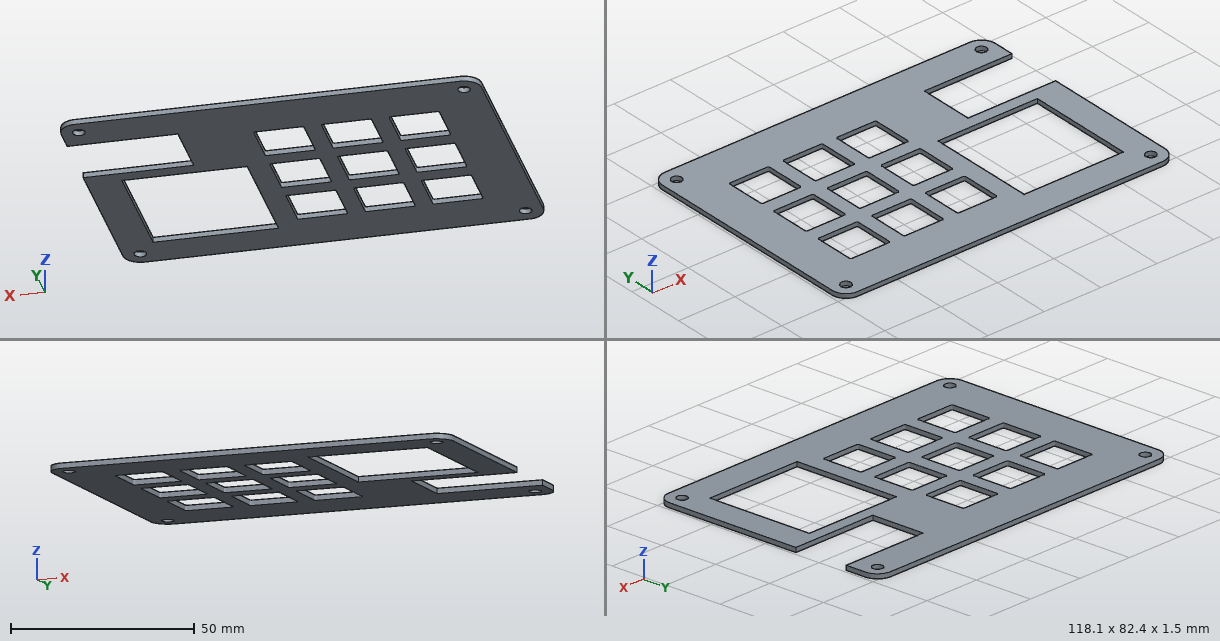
import cadquery as cq

plate_length = 118.1
plate_width = 82.4
plate_thickness = 1.5
corner_radius = 5.0

hole_diameter = 3.4
hole_spacing_x = plate_length - 2 * corner_radius
hole_spacing_y = plate_width - 2 * corner_radius

key_count = 3
key_pitch = 19.0
key_size = 14.0
key_corner_radius = 0.5
key_grid_center = (-18.4, -0.6)

window_length = 35.2
window_width = 36.8
window_center = (31.5, -12.0)

notch_depth = 31.1
notch_width = 18.7
notch_center_y = 19.8


def through_box(length, width, center):
    """Rectangular cutter as tall as the plate, centred at an XY position."""
    return cq.Workplane("XY").center(*center).rect(length, width).extrude(plate_thickness)


def make_plate():
    plate = cq.Workplane("XY").rect(plate_length, plate_width).extrude(plate_thickness)
    return plate.edges("|Z").fillet(corner_radius)


def make_mounting_holes():
    return (
        cq.Workplane("XY")
        .rect(hole_spacing_x, hole_spacing_y, forConstruction=True)
        .vertices()
        .circle(hole_diameter / 2)
        .extrude(plate_thickness)
    )


def make_key_cutouts():
    return (
        cq.Workplane("XY")
        .center(*key_grid_center)
        .rarray(key_pitch, key_pitch, key_count, key_count)
        .rect(key_size, key_size)
        .extrude(plate_thickness)
        .edges("|Z")
        .fillet(key_corner_radius)
    )


def make_window():
    return through_box(window_length, window_width, window_center)


def make_notch():
    notch_center = (plate_length / 2 - notch_depth / 2, notch_center_y)
    return through_box(notch_depth, notch_width, notch_center)


result = (
    make_plate()
    .cut(make_mounting_holes())
    .cut(make_key_cutouts())
    .cut(make_window())
    .cut(make_notch())
)